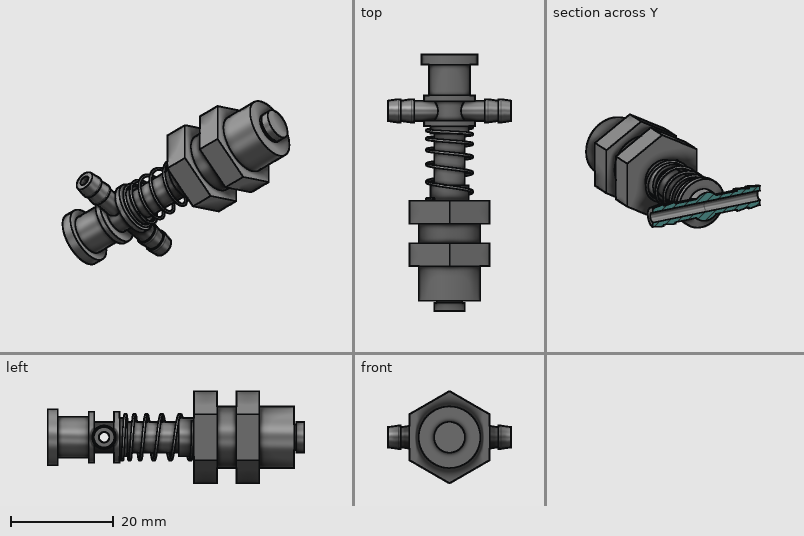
import cadquery as cq
import math


length = 50.0
shaft_radius = 3.0
groove_radius = 2.5
tip_length = 1.6
cap_radius = 5.5
cap_length = 2.0
neck_radius = 4.0
neck_length = 6.0
flange_radius = 5.0
flange_length = 1.1
port_gap = 3.8
collar_radius = 3.75
spring_guide_length = 1.5

neck_rear = length - cap_length
neck_front = neck_rear - neck_length
port_rear = neck_front - flange_length
port_front = port_rear - port_gap
spring_seat_rear = port_front - flange_length
guide_front = spring_seat_rear - spring_guide_length
port_y = (port_rear + port_front) / 2

port_span = 24.0
port_radius = 2.0
port_bore_radius = 1.0
barb_radius = 2.3
barb_taper = 2.0
barb_land = 0.5
barb_pitch = 2.6

housing_radius = 6.0
housing_front = 2.0
hex_corner_radius = 9.0
hex_thickness = 4.5
spring_seat_front = 21.5
nose_length = 3.0

nut_front = 8.75

coil_radius = 4.35
wire_radius = 0.25
first_pitch = 1.0
pitch_growth = 0.3
coil_turns = 5.625
closing_turn = 5.2
seat_clearance = 0.05
coil_start = spring_seat_rear - wire_radius
coil_end = spring_seat_front + wire_radius + seat_clearance


def rod(radius, start, end):
    """Cylinder on the Y axis between two Y positions."""
    return cq.Workplane("XZ", origin=(0, start, 0)).circle(radius).extrude(start - end)


def hexagon(start):
    """Hexagonal prism on the Y axis with corners pointing up and down."""
    corners = []
    for corner in range(6):
        angle = math.radians(90 + 60 * corner)
        corners.append((hex_corner_radius * math.cos(angle), hex_corner_radius * math.sin(angle)))
    return cq.Workplane("XZ", origin=(0, start, 0)).polyline(corners).close().extrude(-hex_thickness)


def barbed_tube():
    """Solid +X half of the hose port, with two tapered barbs at its end."""
    outer_end = port_span / 2
    profile = [(0, 0), (outer_end, 0)]
    for barb in range(2):
        barb_end = outer_end - barb * barb_pitch
        land_start = barb_end - barb_taper
        land_end = land_start - barb_land
        profile += [
            (barb_end, port_radius),
            (land_start, barb_radius),
            (land_end, barb_radius),
            (land_end, port_radius),
        ]
    profile.append((0, port_radius))
    tube = cq.Workplane("XY").polyline(profile).close().revolve(360, (0, 0, 0), (1, 0, 0))
    return tube.translate((0, port_y, 0))


def make_plunger():
    body = rod(shaft_radius, 0, length)
    body = body.union(rod(cap_radius, neck_rear, length))
    body = body.union(rod(neck_radius, neck_front, neck_rear))
    body = body.union(rod(flange_radius, port_rear, neck_front))
    body = body.union(rod(flange_radius, spring_seat_rear, port_front))
    body = body.union(rod(collar_radius, guide_front, spring_seat_rear))

    groove = rod(shaft_radius, tip_length, housing_front).cut(rod(groove_radius, tip_length, housing_front))
    body = body.cut(groove)

    tube = barbed_tube()
    body = body.union(tube).union(tube.mirror("YZ"))
    bore = cq.Workplane("YZ", origin=(0, port_y, 0)).circle(port_bore_radius).extrude(port_span, both=True)
    return body.cut(bore)


def make_housing():
    body = rod(housing_radius, housing_front, spring_seat_front)
    body = body.union(hexagon(spring_seat_front - hex_thickness))
    body = body.union(rod(collar_radius, spring_seat_front, spring_seat_front + nose_length))
    return body.cut(rod(shaft_radius, housing_front, spring_seat_front + nose_length))


def make_nut():
    return hexagon(nut_front).cut(rod(housing_radius, nut_front, nut_front + hex_thickness))


def open_coil_y(turn):
    """Y of the growing-pitch part of the spring centreline."""
    return coil_start - first_pitch * turn - pitch_growth * turn**2


def coil_y(turn):
    """Y of the centreline; the last stretch levels off beside the hexagon."""
    if turn < closing_turn:
        return open_coil_y(turn)
    drop = open_coil_y(closing_turn) - coil_end
    closing_pitch = first_pitch + 2 * pitch_growth * closing_turn
    closing_span = 2 * drop / closing_pitch
    remaining = max(0, 1 - (turn - closing_turn) / closing_span)
    return coil_end + drop * remaining**2


def coil_point(turn):
    """Point on the spring centreline after a number of turns from the +X side."""
    angle = 2 * math.pi * turn
    return (coil_radius * math.cos(angle), coil_y(turn), -coil_radius * math.sin(angle))


def make_spring():
    points_per_turn = 16
    point_count = round(coil_turns * points_per_turn) + 1
    path_points = [coil_point(index / points_per_turn) for index in range(point_count)]
    path = cq.Workplane("XY").spline(path_points)
    start_direction = (0, -first_pitch, -2 * math.pi * coil_radius)
    start_plane = cq.Plane(origin=coil_point(0), xDir=(1, 0, 0), normal=start_direction)
    return cq.Workplane(start_plane).circle(wire_radius).sweep(path, isFrenet=True)


plunger = make_plunger()
housing = make_housing()
nut = make_nut()
spring = make_spring()

result = cq.Compound.makeCompound([plunger.val(), housing.val(), nut.val(), spring.val()])